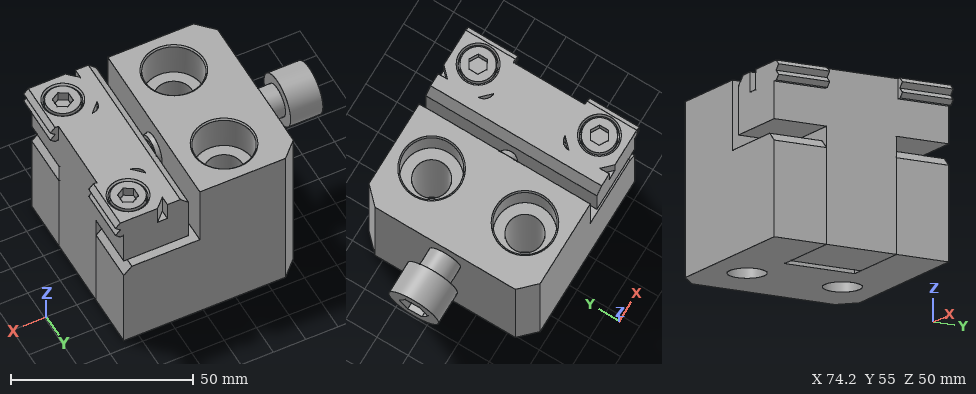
import cadquery as cq
import math

block_length = 55.0
block_width = 55.0
block_height = 50.0
corner_chamfer = 5.0
ledge_start = 31.45
ledge_height = 30.0
ledge_chamfer = 2.5
slot_width = 22.05

mount_x = 17.5
mount_spacing = 30.0
mount_hole_diameter = 11.0
mount_bore_diameter = 17.65
mount_bore_depth = 11.0
mount_bore_chamfer = 0.45

screw_axis_z = block_height - 10.0
head_length = 10.0
head_diameter = 16.0
neck_length = 6.7
shank_radius = 5.0
screw_socket_width = 8.0
screw_socket_depth = 5.0
screw_turn = -6
dome_inset = 1.05
dome_length = 1.3
ball_radius = 3.3
ball_center_offset = 0.5

jaw_start = 34.95
jaw_length = block_length - jaw_start
jaw_underside = block_height - 16.5
jaw_chamfer = 2.5

insert_size = 16.0
insert_thickness = 5.8
insert_corner = 3.05
tooth_depth = 1.5
tooth_overhang = 2.5
insert_end = block_length + tooth_overhang
insert_start = insert_end - insert_size
insert_inner_y = block_width / 2 - insert_size
insert_floor = block_height - insert_thickness

insert_screw_diameter = 10.0
insert_bore_diameter = 11.0
insert_bore_chamfer = 0.5
insert_bore_depth = 3.0
insert_socket_width = 5.0
insert_socket_depth = 3.0


def hexagon_diameter(width_across_flats):
    return width_across_flats / math.cos(math.radians(30))


def chamfered_bore(diameter, depth, chamfer):
    """Bore from the origin downwards, opened at its mouth by a 45 degree chamfer."""
    radius = diameter / 2
    return (
        cq.Workplane("XZ")
        .moveTo(0, 0)
        .lineTo(radius + chamfer, 0)
        .lineTo(radius, -chamfer)
        .lineTo(radius, -depth)
        .lineTo(0, -depth)
        .close()
        .revolve(360, (0, 0), (0, 1))
    )


def make_block():
    """Stepped block with chamfered corners and a full-height slot for the leg of the jaw."""
    block = (
        cq.Workplane("XZ", origin=(0, block_width / 2, 0))
        .moveTo(0, 0)
        .lineTo(block_length, 0)
        .lineTo(block_length, ledge_height - ledge_chamfer)
        .lineTo(block_length - ledge_chamfer, ledge_height)
        .lineTo(ledge_start, ledge_height)
        .lineTo(ledge_start, block_height)
        .lineTo(0, block_height)
        .close()
        .extrude(block_width)
        .edges("|Z and <X")
        .chamfer(corner_chamfer)
    )
    slot = (
        cq.Workplane("XY", origin=(ledge_start, 0, 0))
        .box(block_length - ledge_start, slot_width, ledge_height, centered=(False, True, False))
    )
    return block.cut(slot)


def cut_mounting_holes(block):
    """Two counterbored holes through the block, side by side along Y."""
    hole = cq.Workplane("XY").circle(mount_hole_diameter / 2).extrude(-block_height)
    counterbore = chamfered_bore(mount_bore_diameter, mount_bore_depth, mount_bore_chamfer)
    cutter = counterbore.union(hole)
    for side in (-1, 1):
        block = block.cut(cutter.translate((mount_x, side * mount_spacing / 2, block_height)))
    return block


def make_clamping_screw():
    """Socket head screw with a domed end and a ball, flattened where it meets the jaw."""
    head_start = -neck_length - head_length
    dome_center = ledge_start - dome_inset
    dome_end = ledge_start + dome_length
    ball_center = ledge_start + ball_center_offset

    def dome_height(x):
        return math.sqrt(shank_radius**2 - (x - dome_center) ** 2)

    def ball_height(x):
        return math.sqrt(ball_radius**2 - (x - ball_center) ** 2)

    dome_middle = (dome_center + dome_end) / 2
    ball_middle = (dome_end + jaw_start) / 2
    screw = (
        cq.Workplane("XZ", origin=(0, 0, screw_axis_z))
        .moveTo(head_start, 0)
        .lineTo(head_start, head_diameter / 2)
        .lineTo(-neck_length, head_diameter / 2)
        .lineTo(-neck_length, shank_radius)
        .lineTo(dome_center, shank_radius)
        .threePointArc((dome_middle, dome_height(dome_middle)), (dome_end, dome_height(dome_end)))
        .lineTo(dome_end, ball_height(dome_end))
        .threePointArc((ball_middle, ball_height(ball_middle)), (jaw_start, ball_height(jaw_start)))
        .lineTo(jaw_start, 0)
        .close()
        .revolve(360, (0, 0), (1, 0))
    )
    socket = (
        cq.Workplane("YZ", origin=(head_start, 0, screw_axis_z))
        .polygon(6, hexagon_diameter(screw_socket_width))
        .extrude(screw_socket_depth)
        .rotate((0, 0, screw_axis_z), (1, 0, screw_axis_z), screw_turn)
    )
    return screw.cut(socket)


def make_jaw_body():
    """Chamfered bar above the ledge, with a leg that fills the width of the slot below it."""
    bar = (
        cq.Workplane("XY", origin=(jaw_start, 0, jaw_underside))
        .box(jaw_length, block_width, block_height - jaw_underside, centered=(False, True, False))
        .edges("<X and >Z")
        .chamfer(jaw_chamfer)
    )
    leg = (
        cq.Workplane("XY", origin=(jaw_start, 0, 0))
        .box(jaw_length, slot_width, jaw_underside, centered=(False, True, False))
    )
    return bar.union(leg)


def make_insert_pocket():
    """Pocket at the +Y end of the jaw, rounded in its inner corner."""
    return (
        cq.Workplane("XY", origin=(insert_start, insert_inner_y, insert_floor))
        .box(insert_size, insert_size, insert_thickness, centered=False)
        .edges("|Z and <X and <Y")
        .fillet(insert_corner)
    )


def make_insert():
    """Insert at the +Y end of the jaw: two teeth along its +X side, two chamfered corners."""
    root_x = insert_end - tooth_depth
    insert = (
        cq.Workplane("XZ", origin=(0, block_width / 2, block_height))
        .moveTo(insert_start, 0)
        .lineTo(root_x, 0)
        .lineTo(insert_end, -tooth_depth)
        .lineTo(root_x, -2 * tooth_depth)
        .lineTo(insert_end, -3 * tooth_depth)
        .lineTo(insert_end - insert_thickness + 3 * tooth_depth, -insert_thickness)
        .lineTo(insert_start, -insert_thickness)
        .close()
        .extrude(insert_size)
        .edges("|Z and <X")
        .chamfer(insert_corner)
    )
    return add_insert_screw(insert)


def add_insert_screw(insert):
    """Socket head screw, flush with the top of the insert in a wider bore."""
    bore = chamfered_bore(insert_bore_diameter, insert_bore_depth, insert_bore_chamfer)
    screw_head = cq.Workplane("XY").circle(insert_screw_diameter / 2).extrude(-insert_bore_depth)
    socket = (
        cq.Workplane("XY")
        .polygon(6, hexagon_diameter(insert_socket_width))
        .extrude(-insert_socket_depth)
        .rotate((0, 0, 0), (0, 0, 1), 90)
    )
    center = (insert_end - insert_size / 2, block_width / 2 - insert_size / 2, block_height)
    gap = bore.cut(screw_head).union(socket)
    return insert.cut(gap.translate(center))


def make_clamp_block():
    """Fixed body: the block with its clamping screw."""
    return cut_mounting_holes(make_block()).union(make_clamping_screw())


def make_jaw():
    """Moving body: the jaw with a serrated insert at either end."""
    jaw = make_jaw_body()
    pocket = make_insert_pocket()
    insert = make_insert()
    jaw = jaw.cut(pocket).cut(pocket.mirror("XZ"))
    return jaw.union(insert).union(insert.mirror("XZ"))


clamp_block = make_clamp_block()
jaw = make_jaw()
result = cq.Compound.makeCompound([clamp_block.val(), jaw.val()])